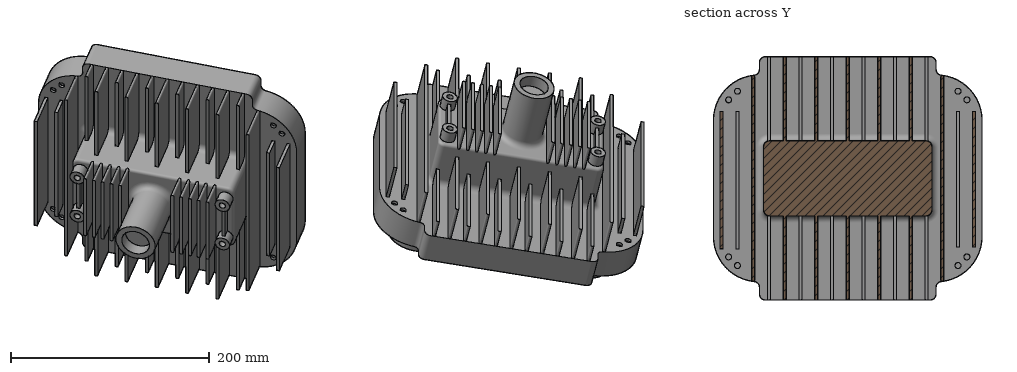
import cadquery as cq
import math


FLANGE_WIDTH = 270.5
FLANGE_HEIGHT = 208.3
FLANGE_CORNER = 46.0
FLANGE_THICKNESS = 31.5
TAB_WIDTH = 178.0
PART_HEIGHT = 245.0
TAB_CORNER = 6.5
TAB_ROOT = 5.5

REAR_WIDTH = 228.9
REAR_HEIGHT = 140.0
REAR_CORNER = 29.0
REAR_DEPTH = 32.0

BOSS_WIDTH = 169.5
BOSS_HEIGHT = 75.7
BOSS_DEPTH = 51.0
BOSS_CORNER = 6.2
BOSS_ROOT = 6.8
BOSS_EDGE = 3.0
BOSS_EDGE_START = BOSS_DEPTH - BOSS_EDGE

FIN_THICKNESS = 3.2
FIN_END_RADIUS = 1.5
FIN_TALL = 38.5
FIN_SHORT = 19.2
ARC_FIN = 6
ARC_FIN_LENGTH = 207.2
SIDE_FINS = (7, 8)
OUTER_FIN_X = 127.0
FIN_PITCH = OUTER_FIN_X / max(SIDE_FINS)
SIDE_FIN_TOP = 67.4
SIDE_FIN_BOTTOM_LEFT = -71.0
SIDE_FIN_BOTTOM_RIGHT = -69.3

BOSS_FIN_COUNT = 5
BOSS_FIN_START = 27.3
BOSS_FIN_PITCH = 9.2
BOSS_FIN_TIP = 76.3

SCREW_X = 76.0
SCREW_Z = 25.5
SCREW_DIAMETER = 15.1
SCREW_TIP = 63.5
SOCKET_DIAMETER = 6.5
SOCKET_DEPTH = 6.5
RIB_TIP = 59.8

TUBE_DIAMETER = 41.0
TUBE_TIP = 114.5
TUBE_ROOT = 6.2
BORE_DIAMETER = 29.0
BORE_DEPTH = 12.7

HOLE_DIAMETER = 6.0
HOLE_DEPTH = 3.0
HOLE_POSITIONS = ((111.0, 87.6), (119.8, 79.0))

SELECTION_MARGIN = 0.3


def front_plane(y):
    """XZ workplane at the given Y; positive extrusion runs towards -Y."""
    return cq.Workplane("XZ", origin=(0, y, 0))


def mirrored(points):
    """All four quadrant copies of the given (x, z) points."""
    return [(sx * x, sz * z) for x, z in points for sx in (-1, 1) for sz in (-1, 1)]


def rounded_block(y, width, height, depth, corner):
    return front_plane(y).rect(width, height).extrude(depth).edges("|Y").fillet(corner)


def fin(x, bottom, top, root, tip, rounded=True):
    """Upright fin standing forward from the root to the tip depth, with round or square ends."""
    outline = front_plane(-root).center(x, (top + bottom) / 2).rect(FIN_THICKNESS, top - bottom)
    blade = outline.extrude(tip - root)
    if rounded:
        blade = blade.edges("|Y").fillet(FIN_END_RADIUS)
    return blade


def edges_near(body, y, width, height):
    """Edges centred on the plane at Y, within a centred rectangle of that size."""
    low = (-width / 2 - SELECTION_MARGIN, y - SELECTION_MARGIN, -height / 2 - SELECTION_MARGIN)
    high = (width / 2 + SELECTION_MARGIN, y + SELECTION_MARGIN, height / 2 + SELECTION_MARGIN)
    return body.edges(cq.selectors.BoxSelector(low, high))


def flange_quadrant():
    """Quarter of the flange: side edge, corner arc, concave root arc and tab corner."""
    side_x = FLANGE_WIDTH / 2
    tab_x = TAB_WIDTH / 2
    top_z = PART_HEIGHT / 2
    corner_x = side_x - FLANGE_CORNER
    corner_z = FLANGE_HEIGHT / 2 - FLANGE_CORNER

    root_x = tab_x + TAB_ROOT
    reach = FLANGE_CORNER + TAB_ROOT
    root_z = corner_z + math.sqrt(reach**2 - (root_x - corner_x) ** 2)
    share = FLANGE_CORNER / reach
    touch = (corner_x + share * (root_x - corner_x), corner_z + share * (root_z - corner_z))

    return (
        front_plane(FLANGE_THICKNESS)
        .lineTo(side_x, 0)
        .lineTo(side_x, corner_z)
        .radiusArc(touch, -FLANGE_CORNER)
        .radiusArc((tab_x, root_z), TAB_ROOT)
        .lineTo(tab_x, top_z - TAB_CORNER)
        .radiusArc((tab_x - TAB_CORNER, top_z), -TAB_CORNER)
        .lineTo(0, top_z)
        .close()
        .extrude(FLANGE_THICKNESS)
    )


def flange_plate():
    half = flange_quadrant().mirror("XY", union=True)
    return half.mirror("YZ", union=True).clean()


def rear_block():
    return rounded_block(FLANGE_THICKNESS + REAR_DEPTH, REAR_WIDTH, REAR_HEIGHT, REAR_DEPTH, REAR_CORNER)


def add_boss(body):
    boss = rounded_block(0, BOSS_WIDTH, BOSS_HEIGHT, BOSS_DEPTH, BOSS_CORNER)
    boss = boss.faces("<Y").edges().fillet(BOSS_EDGE)
    return edges_near(body.union(boss), 0, BOSS_WIDTH, BOSS_HEIGHT).fillet(BOSS_ROOT)


def add_tube(body):
    tube = front_plane(-BOSS_DEPTH).circle(TUBE_DIAMETER / 2).extrude(TUBE_TIP - BOSS_DEPTH)
    body = body.union(tube)
    body = edges_near(body, -BOSS_DEPTH, TUBE_DIAMETER, TUBE_DIAMETER).fillet(TUBE_ROOT)
    bore = front_plane(BORE_DEPTH - TUBE_TIP).circle(BORE_DIAMETER / 2).extrude(BORE_DEPTH)
    return body.cut(bore)


def plate_fins():
    """Fins across the flange; even ones are tall and odd ones are short."""
    fins = []
    for index in range(-max(SIDE_FINS), max(SIDE_FINS) + 1):
        x = index * FIN_PITCH
        tip = FIN_SHORT if index % 2 else FIN_TALL
        if abs(index) in SIDE_FINS:
            bottom = SIDE_FIN_BOTTOM_LEFT if x < 0 else SIDE_FIN_BOTTOM_RIGHT
            fins.append(fin(x, bottom, SIDE_FIN_TOP, 0, tip, rounded=False))
        else:
            half_length = ARC_FIN_LENGTH / 2 if abs(index) == ARC_FIN else PART_HEIGHT / 2
            fins.append(fin(x, -half_length, half_length, 0, tip))
    return fins


def boss_fins():
    """Two mirrored groups of fins, rooted where the rounded front edge of the boss begins."""
    half_length = BOSS_HEIGHT / 2
    fins = []
    for side in (-1, 1):
        for index in range(BOSS_FIN_COUNT):
            x = side * (BOSS_FIN_START + index * BOSS_FIN_PITCH)
            fins.append(fin(x, -half_length, half_length, BOSS_EDGE_START, BOSS_FIN_TIP))
    return fins


def screws_and_ribs():
    screws = (
        front_plane(-BOSS_EDGE_START)
        .pushPoints(mirrored([(SCREW_X, SCREW_Z)]))
        .circle(SCREW_DIAMETER / 2)
        .extrude(SCREW_TIP - BOSS_EDGE_START)
    )
    ribs = [fin(x, -SCREW_Z, SCREW_Z, BOSS_EDGE_START, RIB_TIP) for x in (-SCREW_X, SCREW_X)]
    return [screws] + ribs


def screw_sockets():
    return (
        front_plane(SOCKET_DEPTH - SCREW_TIP)
        .pushPoints(mirrored([(SCREW_X, SCREW_Z)]))
        .circle(SOCKET_DIAMETER / 2)
        .extrude(SOCKET_DEPTH)
    )


def mounting_holes():
    return (
        front_plane(HOLE_DEPTH)
        .pushPoints(mirrored(HOLE_POSITIONS))
        .circle(HOLE_DIAMETER / 2)
        .extrude(HOLE_DEPTH)
    )


result = flange_plate().union(rear_block())
result = add_boss(result)
result = add_tube(result)
for feature in plate_fins() + boss_fins() + screws_and_ribs():
    result = result.union(feature)
result = result.cut(screw_sockets()).cut(mounting_holes())